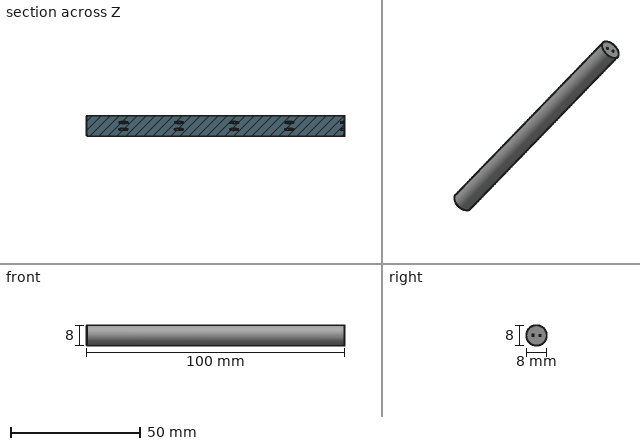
import cadquery as cq

LENGTH = 100.0
DIAMETER = 8.0
CHAMFER = 0.4

CHANNEL_COUNT = 2
CHANNEL_DIAMETER = 0.65
CHANNEL_CIRCLE_DIAMETER = 2.7
HELIX_PITCH = 42.8
TWIST = 360.0 * LENGTH / HELIX_PITCH


def rod():
    """Round rod chamfered at its -X end."""
    body = cq.Workplane("YZ").circle(DIAMETER / 2).extrude(-LENGTH)
    return body.faces("<X").chamfer(CHAMFER)


def coolant_channels():
    """Right-hand twisted channels through the whole rod, meeting the plain end on the Y axis."""
    return (
        cq.Workplane("YZ", origin=(-LENGTH, 0, 0))
        .polarArray(CHANNEL_CIRCLE_DIAMETER / 2, -TWIST, 360, CHANNEL_COUNT)
        .circle(CHANNEL_DIAMETER / 2)
        .twistExtrude(LENGTH, TWIST)
    )


result = rod().cut(coolant_channels())